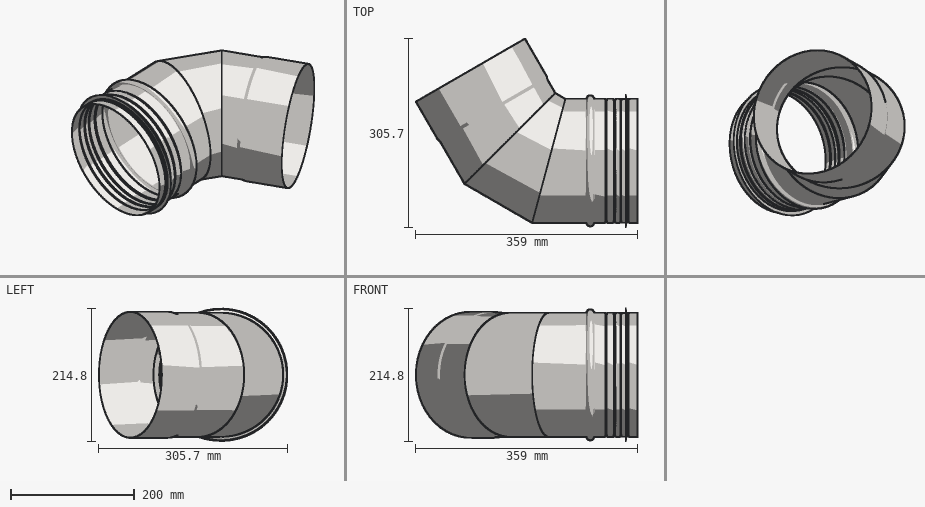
import cadquery as cq
import math

overall_length = 359.0
kink_angle = 30.0
miter_angle = kink_angle / 2
middle_length = 72.5
socket_length = 128.0

wall = 0.7
duct_radius = 201.5 / 2
socket_radius = 204.7 / 2
sleeve_length = 70.5
flare_length = 5.5

middle_direction = math.radians(180 - kink_angle)
socket_direction = math.radians(180 - 2 * kink_angle)
joint_1 = (0.0, 0.0)
joint_2 = (middle_length * math.cos(middle_direction), middle_length * math.sin(middle_direction))

spigot_length = (
    overall_length
    + joint_2[0]
    + socket_length * math.cos(socket_direction)
    - socket_radius * math.sin(socket_direction)
)

bead_setback = 76.5
bead_radius = 6.5
bead_sink = 0.7
bead_foot_radius = 1.5

groove_floor_radius = 197.0 / 2
shoulder_radius = 1.8
ring_groove_far, ring_groove_near = 53.5, 34.5
gasket_groove_far, gasket_groove_near = 29.5, 13.0

ring_far, ring_near = 49.5, 38.8
ring_radius = duct_radius
ring_edge_fillet = 1.0

gasket_far, gasket_near = 26.2, 16.5
gasket_radius = 200.8 / 2
lip_far = 19.5
lip_tip_width = 0.5
lip_heel_width = 1.0
lip_heel_height = 2.5
lip_radius = 214.8 / 2


def revolve_about_x(profile):
    return profile.close().revolve(360, (0, 0, 0), (1, 0, 0))


def tube(start, end, radius):
    solid = cq.Workplane("YZ", origin=(start, 0, 0)).circle(radius)
    return solid.circle(radius - wall).extrude(end - start)


def beyond_joint(joint, heading):
    """Block filling the space past a miter plane, on the side the heading points to."""
    size = 2 * overall_length
    block = cq.Workplane("XY").box(size, size, size, centered=(False, True, True))
    return block.rotate((0, 0, 0), (0, 0, 1), heading).translate((*joint, 0))


def add_bead(line, inset):
    """Round bead with a concave foot on each side, at an inset below the outer surface."""
    crown = bead_radius - inset
    foot = bead_foot_radius + inset
    center_x = spigot_length - bead_setback
    center_y = duct_radius - bead_sink
    foot_rise = bead_sink + bead_foot_radius
    foot_offset = math.sqrt((bead_radius + bead_foot_radius) ** 2 - foot_rise**2)
    foot_angle = math.atan2(foot_rise, foot_offset)
    tangent_x = crown * math.cos(foot_angle)
    tangent_y = center_y + crown * math.sin(foot_angle)
    base_y = duct_radius - inset
    return (
        line.lineTo(center_x - foot_offset, base_y)
        .radiusArc((center_x - tangent_x, tangent_y), -foot)
        .threePointArc((center_x, center_y + crown), (center_x + tangent_x, tangent_y))
        .radiusArc((center_x + foot_offset, base_y), -foot)
    )


def add_groove(line, far, near, inset):
    """Flat-bottomed groove with quarter-round shoulders, at an inset below the outer surface."""
    shoulder = shoulder_radius - inset
    top = duct_radius - inset
    floor = groove_floor_radius - inset
    left = spigot_length - far
    right = spigot_length - near
    return (
        line.lineTo(left, top)
        .radiusArc((left + shoulder, top - shoulder), shoulder)
        .lineTo(left + shoulder, floor)
        .lineTo(right - shoulder, floor)
        .lineTo(right - shoulder, top - shoulder)
        .radiusArc((right, top), shoulder)
    )


def spigot_profile(inset):
    """Wall line of the spigot from past the joint to the open end, closed along the axis."""
    top = duct_radius - inset
    line = cq.Workplane("XY").moveTo(-duct_radius, 0).lineTo(-duct_radius, top)
    line = add_bead(line, inset)
    line = add_groove(line, ring_groove_far, ring_groove_near, inset)
    line = add_groove(line, gasket_groove_far, gasket_groove_near, inset)
    return line.lineTo(spigot_length, top).lineTo(spigot_length, 0)


def make_spigot():
    shell = revolve_about_x(spigot_profile(0)).cut(revolve_about_x(spigot_profile(wall)))
    return shell.cut(beyond_joint(joint_1, 180 - miter_angle))


def make_middle():
    duct = tube(-duct_radius, middle_length + duct_radius, duct_radius)
    duct = duct.rotate((0, 0, 0), (0, 0, 1), math.degrees(middle_direction))
    duct = duct.cut(beyond_joint(joint_1, -miter_angle))
    return duct.cut(beyond_joint(joint_2, math.degrees(middle_direction) - miter_angle))


def make_socket():
    sleeve_start = socket_length - sleeve_length
    shell = revolve_about_x(
        cq.Workplane("XY")
        .moveTo(-duct_radius, duct_radius - wall)
        .lineTo(-duct_radius, duct_radius)
        .lineTo(sleeve_start - flare_length, duct_radius)
        .lineTo(sleeve_start, socket_radius)
        .lineTo(socket_length, socket_radius)
        .lineTo(socket_length, socket_radius - wall)
        .lineTo(sleeve_start, socket_radius - wall)
        .lineTo(sleeve_start - flare_length, duct_radius - wall)
    )
    shell = shell.rotate((0, 0, 0), (0, 0, 1), math.degrees(socket_direction)).translate((*joint_2, 0))
    return shell.cut(beyond_joint(joint_2, math.degrees(socket_direction) + miter_angle + 180))


def make_ring():
    ring = cq.Workplane("YZ", origin=(spigot_length - ring_far, 0, 0)).circle(ring_radius)
    ring = ring.circle(groove_floor_radius).extrude(ring_far - ring_near)
    return ring.edges(cq.selectors.RadiusNthSelector(-1)).fillet(ring_edge_fillet)


def make_gasket():
    lip_x = spigot_length - lip_far
    return revolve_about_x(
        cq.Workplane("XY")
        .moveTo(spigot_length - gasket_far, groove_floor_radius)
        .lineTo(spigot_length - gasket_far, gasket_radius)
        .lineTo(lip_x, gasket_radius)
        .lineTo(lip_x, lip_radius)
        .lineTo(lip_x + lip_tip_width, lip_radius)
        .lineTo(lip_x + lip_heel_width, gasket_radius + lip_heel_height)
        .lineTo(lip_x + lip_heel_width, gasket_radius)
        .lineTo(spigot_length - gasket_near, gasket_radius)
        .lineTo(spigot_length - gasket_near, groove_floor_radius)
    )


spigot = make_spigot()
middle = make_middle()
socket = make_socket()
ring = make_ring()
gasket = make_gasket()

result = cq.Compound.makeCompound(
    [spigot.val(), middle.val(), socket.val(), ring.val(), gasket.val()]
)